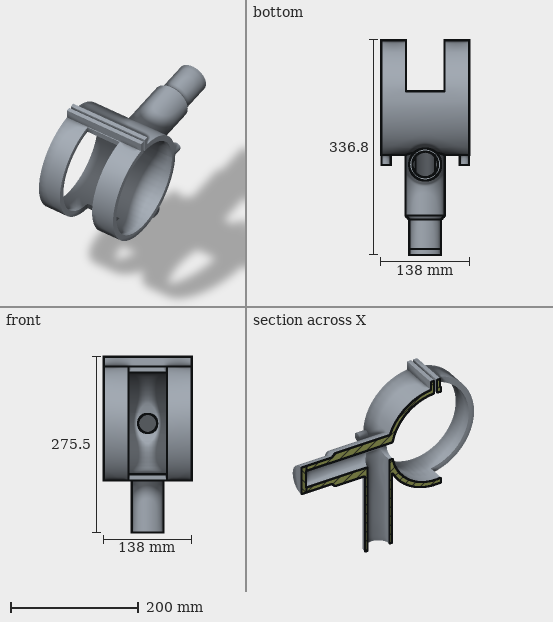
import cadquery as cq

CLAMP_WIDTH = 138.0
RING_OUTER_RADIUS = 90.0
RING_INNER_RADIUS = 80.0
SPLIT_GAP = 4.0
LUG_THICKNESS = 7.0
LUG_TOP = 104.5
WINDOW_WIDTH = 60.0
WINDOW_EDGE_Y = -10.0

PEG_DIAMETER = 14.8
PEG_SPACING = 122.5
PEG_END = 105.7

BARREL_DIAMETER = 62.0
BARREL_END = 185.0
SHOULDER_LENGTH = 6.0
SPIGOT_DIAMETER = 50.2
SPIGOT_END = 237.5
BORE_DIAMETER = 30.0
BRANCH_DIAMETER = 50.2
BRANCH_BORE_DIAMETER = 40.0
BRANCH_Y = 104.7
BRANCH_BOTTOM = -171.0

CAP_END = 246.8

LUG_OUTER_Y = SPLIT_GAP / 2 + LUG_THICKNESS


def x_cylinder(radius):
    """Cylinder along X, as wide as the clamp."""
    return cq.Workplane("YZ", origin=(-CLAMP_WIDTH / 2, 0, 0)).circle(radius).extrude(CLAMP_WIDTH)


def y_cylinder(radius, end, x=0):
    """Cylinder along +Y, starting at the clamp axis."""
    return cq.Workplane("XZ").center(x, 0).circle(radius).extrude(-end)


def make_ring_and_pegs():
    """Closed ring blank with its lugs and pegs, before any cuts."""
    lugs = cq.Workplane("XY").rect(CLAMP_WIDTH, 2 * LUG_OUTER_Y).extrude(LUG_TOP)
    blank = x_cylinder(RING_OUTER_RADIUS).union(lugs)
    for side in (-1, 1):
        blank = blank.union(y_cylinder(PEG_DIAMETER / 2, PEG_END, side * PEG_SPACING / 2))
    return blank


def make_tee():
    """Solid tee blank, starting at the clamp axis."""
    pipe = (
        cq.Workplane("XY")
        .polyline([
            (0, 0),
            (BARREL_DIAMETER / 2, 0),
            (BARREL_DIAMETER / 2, BARREL_END),
            (SPIGOT_DIAMETER / 2, BARREL_END + SHOULDER_LENGTH),
            (SPIGOT_DIAMETER / 2, SPIGOT_END),
            (0, SPIGOT_END),
        ])
        .close()
        .revolve(360, (0, 0, 0), (0, 1, 0))
    )
    return pipe.union(branch_cylinder(BRANCH_DIAMETER))


def branch_cylinder(diameter):
    """Vertical cylinder from the pipe axis down to the end of the branch."""
    return cq.Workplane("XY").center(0, BRANCH_Y).circle(diameter / 2).extrude(BRANCH_BOTTOM)


def make_window():
    """Block that opens the front half of the ring, just short of the front lug."""
    return (
        cq.Workplane("XY")
        .center(0, WINDOW_EDGE_Y - RING_OUTER_RADIUS / 2)
        .rect(WINDOW_WIDTH, RING_OUTER_RADIUS)
        .extrude(RING_OUTER_RADIUS, both=True)
    )


def make_holder():
    """Clamp and hollow tee as one solid."""
    split = cq.Workplane("XY").rect(CLAMP_WIDTH, SPLIT_GAP).extrude(LUG_TOP)
    return (
        make_ring_and_pegs()
        .union(make_tee())
        .cut(x_cylinder(RING_INNER_RADIUS))
        .cut(split)
        .cut(make_window())
        .cut(y_cylinder(BORE_DIAMETER / 2, SPIGOT_END))
        .cut(branch_cylinder(BRANCH_BORE_DIAMETER))
    )


def make_cap():
    return (
        cq.Workplane("XZ", origin=(0, SPIGOT_END, 0))
        .circle(SPIGOT_DIAMETER / 2)
        .extrude(SPIGOT_END - CAP_END)
    )


holder = make_holder()
cap = make_cap()
result = cq.Compound.makeCompound([holder.val(), cap.val()])